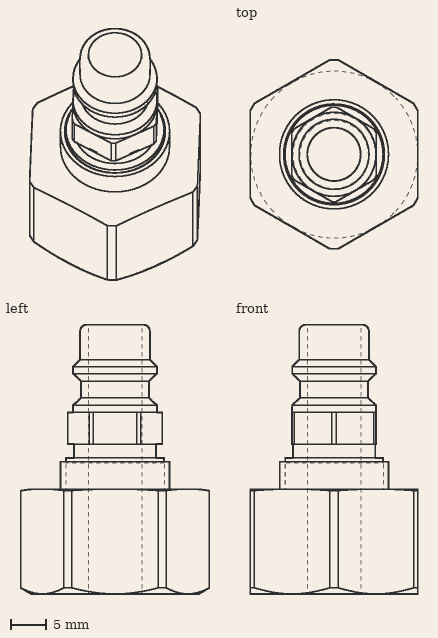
import cadquery as cq
import math

total_height = 38.5
nut_height = 15.0
boss_top = 18.95
ring_top = 19.45
hex_bottom = 21.4
hex_top = 25.95
lower_flange_top = 27.0
groove_bottom = 28.03
groove_top = 30.4
upper_flange_bottom = 31.5
upper_flange_top = 32.5
tip_bottom = 33.5

bore_diameter = 7.6
tip_diameter = 10.0
groove_diameter = 9.75
flange_diameter = 12.0
neck_diameter = 11.8
ring_diameter = 14.0
socket_diameter = 14.1
socket_chamfer = 0.15
boss_diameter = 15.6
tip_round = 1.0

nut_across_flats = 24.0
nut_corner_diameter = 27.0
nut_face_diameter = 23.87
nut_top_chamfer_height = 0.25
nut_bottom_chamfer_angle = 30.0
spigot_across_flats = flange_diameter
spigot_corner_diameter = 13.5


def hexagon(across_flats, bottom, height):
    """Hexagonal prism with two flats facing +X and -X."""
    across_corners = across_flats / math.cos(math.radians(30))
    prism = cq.Workplane("XY").polygon(6, across_corners).extrude(height)
    return prism.rotate((0, 0, 0), (0, 0, 1), 30).translate((0, 0, bottom))


def cylinder(diameter, bottom, top):
    return cq.Workplane("XY", origin=(0, 0, bottom)).circle(diameter / 2).extrude(top - bottom)


def revolved(points):
    """Solid of revolution about Z from (radius, height) points."""
    return cq.Workplane("XZ").polyline(points).close().revolve(360, (0, 0), (0, 1))


def make_nut():
    face_radius = nut_face_diameter / 2
    corner_radius = nut_corner_diameter / 2
    bottom_chamfer = (corner_radius - face_radius) * math.tan(math.radians(nut_bottom_chamfer_angle))
    turned_envelope = revolved([
        (0, 0),
        (face_radius, 0),
        (corner_radius, bottom_chamfer),
        (corner_radius, nut_height - nut_top_chamfer_height),
        (face_radius, nut_height),
        (0, nut_height),
    ])
    return hexagon(nut_across_flats, 0, nut_height).intersect(turned_envelope)


def make_boss():
    """Boss on the nut, with a ring standing in it inside a chamfered socket."""
    boss = cylinder(boss_diameter, nut_height, boss_top)
    socket = cylinder(socket_diameter, nut_height, boss_top)
    ring = cylinder(ring_diameter, nut_height, ring_top)
    bushing = boss.cut(socket)
    bushing = bushing.faces(">Z").edges(cq.selectors.RadiusNthSelector(0)).chamfer(socket_chamfer)
    return bushing.union(ring)


def make_spigot_hexagon():
    prism = hexagon(spigot_across_flats, hex_bottom, hex_top - hex_bottom)
    return prism.intersect(cylinder(spigot_corner_diameter, hex_bottom, hex_top))


def make_spigot():
    neck = cylinder(neck_diameter, ring_top, hex_bottom)
    flange_radius = flange_diameter / 2
    groove_radius = groove_diameter / 2
    tip_radius = tip_diameter / 2
    plug = revolved([
        (0, hex_top),
        (flange_radius, hex_top),
        (flange_radius, lower_flange_top),
        (groove_radius, groove_bottom),
        (groove_radius, groove_top),
        (flange_radius, upper_flange_bottom),
        (flange_radius, upper_flange_top),
        (tip_radius, tip_bottom),
        (tip_radius, total_height),
        (0, total_height),
    ]).faces(">Z").edges().fillet(tip_round)
    return neck.union(make_spigot_hexagon()).union(plug)


bore = cylinder(bore_diameter, 0, total_height)
result = make_nut().union(make_boss()).union(make_spigot()).cut(bore)